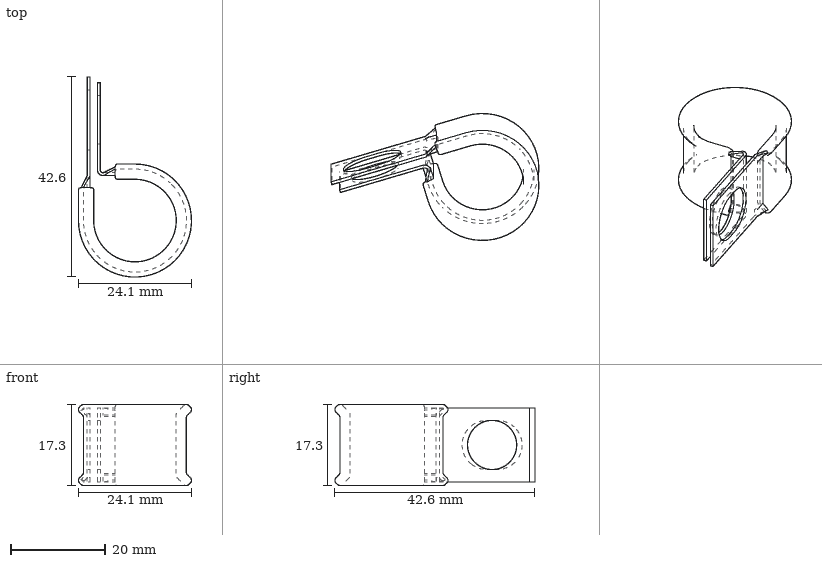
import cadquery as cq
import math


BORE_RADIUS = 8.75
WALL_RADIUS = 10.95
RIM_RADIUS = 12.035
CUSHION_HEIGHT = 17.25
FLARE_THICKNESS = 2.0
PROFILE_RADIUS = 0.75
BORE_ROOT_RADIUS = 1.0
END_RADIUS = 0.5
LOOP_ANGLE = 270
SIDE_LENGTH = 7.0
TOP_LENGTH = 4.2

STRAP_THICKNESS = 0.65
STRAP_WIDTH = 15.75
STRAP_RADIUS = (BORE_RADIUS + WALL_RADIUS) / 2
STRAP_OUTER = STRAP_RADIUS + STRAP_THICKNESS / 2
STRAP_INNER = STRAP_RADIUS - STRAP_THICKNESS / 2
SIDE_TAB_END = 30.535
BENT_TAB_END = 29.3
BEND_INNER_RADIUS = 0.6
BEND_OUTER_RADIUS = BEND_INNER_RADIUS + STRAP_THICKNESS
EMBED = 1.0

CORNER_LENGTH = 2.55
FLARE_START = 6.1

HOLE_Y = 21.4
HOLE_DIAMETER = 10.4
SLOT_LENGTH = 12.75

FLARE_ANGLE = math.radians(45)
COS_45 = math.cos(FLARE_ANGLE)
Z_AXIS = ((0, 0, 0), (0, 0, 1))


def cushion_section():
    """Section of the cushion on the -X side: X is minus the radius, Y is height."""
    overhang = PROFILE_RADIUS * (math.sqrt(2) - 1)
    tip_step = FLARE_THICKNESS * COS_45
    tip_outer_r = RIM_RADIUS + overhang
    tip_inner_r = tip_outer_r - tip_step
    tip_inner_z = CUSHION_HEIGHT / 2 + overhang
    tip_outer_z = tip_inner_z - tip_step
    outer_root_z = tip_outer_z - (tip_outer_r - WALL_RADIUS)
    inner_root_z = tip_inner_z - (tip_inner_r - BORE_RADIUS)
    upper_half = [
        (-BORE_RADIUS, inner_root_z),
        (-tip_inner_r, tip_inner_z),
        (-tip_outer_r, tip_outer_z),
        (-WALL_RADIUS, outer_root_z),
    ]
    lower_half = [(x, -z) for x, z in reversed(upper_half)]
    outline = upper_half + lower_half + upper_half[:1]
    section = cq.Sketch().polygon(outline)
    section = section.vertices("not >X").fillet(PROFILE_RADIUS).reset()
    return section.vertices(">X").fillet(BORE_ROOT_RADIUS).reset()


def onto_top_arm(side_arm_shape):
    """Move a shape from the -X arm to the +Y arm, mirroring it about the line Y = -X."""
    return side_arm_shape.rotate(*Z_AXIS, -90).mirror("YZ")


def cushion_end(length):
    """Straight end of the cushion on the -X arm, rounded at its cut face."""
    straight = cq.Workplane("XZ").placeSketch(cushion_section()).extrude(-length)
    return straight.faces(">Y").edges().fillet(END_RADIUS)


def cushion():
    section = cq.Workplane("XZ").placeSketch(cushion_section())
    loop = section.revolve(LOOP_ANGLE, (0, 0, 0), (0, 1, 0))
    return loop.union(cushion_end(SIDE_LENGTH)).union(onto_top_arm(cushion_end(TOP_LENGTH)))


def flared_corners(cushion_length):
    """Upper and lower twisted strap corners of the -X arm, ending inside the cushion."""
    half_width = STRAP_WIDTH / 2
    miter = STRAP_THICKNESS * math.tan(FLARE_ANGLE / 2)
    reach = (half_width - FLARE_START) * COS_45
    across = STRAP_THICKNESS * COS_45
    flat = [
        (-STRAP_OUTER, FLARE_START),
        (-STRAP_OUTER, half_width),
        (-STRAP_INNER, half_width),
        (-STRAP_INNER, FLARE_START + miter),
    ]
    flared = [
        (-STRAP_OUTER, FLARE_START),
        (-STRAP_OUTER - reach, FLARE_START + reach),
        (-STRAP_OUTER - reach + across, FLARE_START + reach + across),
        (-STRAP_INNER, FLARE_START + miter),
    ]
    start = cushion_length + CORNER_LENGTH
    end_face = cq.Workplane("XZ", origin=(0, cushion_length, 0)).polyline(flared).close()
    twist = (
        cq.Workplane("XZ", origin=(0, start, 0))
        .polyline(flat).close()
        .workplane(offset=CORNER_LENGTH)
        .polyline(flared).close()
        .loft(ruled=True)
    )
    upper = twist.union(end_face.extrude(EMBED))
    middle_length = CORNER_LENGTH + EMBED
    middle = (
        cq.Workplane("XZ", origin=(0, start, 0))
        .polyline([flat[0], flat[3], (-STRAP_INNER, 0), (-STRAP_OUTER, 0)]).close()
        .extrude(middle_length)
    )
    upper = upper.union(middle)
    return upper.union(upper.mirror("XY"))


def side_tab():
    """Straight tab on the -X side, with the slotted hole."""
    start = SIDE_LENGTH + CORNER_LENGTH
    length = SIDE_TAB_END - start
    tab = cq.Workplane("XY").box(STRAP_THICKNESS, length, STRAP_WIDTH)
    tab = tab.translate((-STRAP_RADIUS, start + length / 2, 0))
    slot = (
        cq.Workplane("YZ", origin=(-STRAP_RADIUS, HOLE_Y, 0))
        .slot2D(SLOT_LENGTH, HOLE_DIAMETER)
        .extrude(STRAP_THICKNESS, both=True)
    )
    return tab.cut(slot).union(flared_corners(SIDE_LENGTH))


def bent_tab():
    """Tab that leaves the +Y arm, turns a quarter bend and runs along +Y, with the round hole."""
    bend_x = -TOP_LENGTH - CORNER_LENGTH
    bend_y = STRAP_INNER + BEND_OUTER_RADIUS
    near_face = bend_x - BEND_OUTER_RADIUS
    far_face = near_face + STRAP_THICKNESS
    tab = (
        cq.Workplane("XY", origin=(0, 0, -STRAP_WIDTH / 2))
        .moveTo(near_face, BENT_TAB_END)
        .lineTo(near_face, bend_y)
        .radiusArc((bend_x, STRAP_INNER), -BEND_OUTER_RADIUS)
        .lineTo(bend_x, STRAP_OUTER)
        .radiusArc((far_face, bend_y), BEND_INNER_RADIUS)
        .lineTo(far_face, BENT_TAB_END)
        .close()
        .extrude(STRAP_WIDTH)
    )
    hole = (
        cq.Workplane("YZ", origin=(near_face, HOLE_Y, 0))
        .circle(HOLE_DIAMETER / 2)
        .extrude(STRAP_THICKNESS)
    )
    return tab.cut(hole).union(onto_top_arm(flared_corners(TOP_LENGTH)))


result = cushion().union(side_tab()).union(bent_tab())